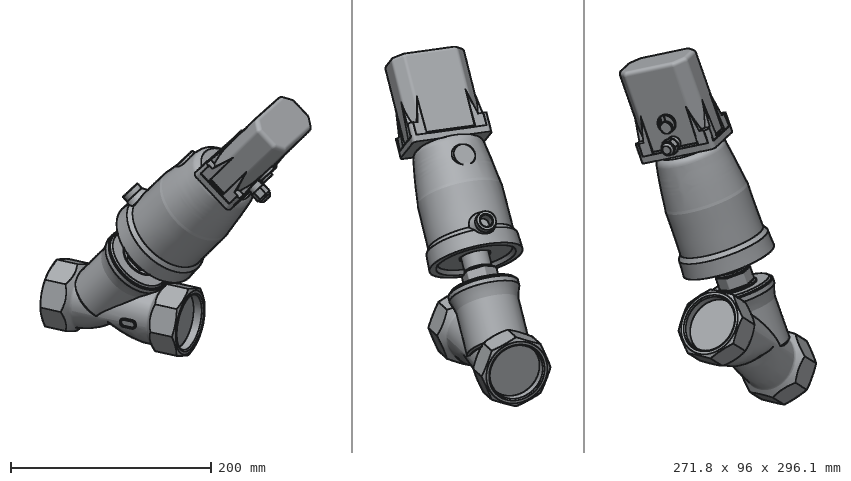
import cadquery as cq
import math


tilt_from_vertical = 40.0
axis_crossing_x = -30.2

body_length = 151.0
octagon_width = 74.0
left_end_length = 25.0
right_end_length = 26.0
end_root_radius = 3.5
end_face_diameter = 65.5
end_chamfer_length = 2.0
barrel_radius = 29.5
bore_diameter = 56.5
bore_depth = 10.5
bore_chamfer = 1.5
waist_x = -3.0
waist_depth = 12.5
left_belly_depth = 24.3
right_belly_depth = 26.7
badge_x = 21.0
badge_length = 18.0
badge_height = 9.5
badge_relief = 1.0
badge_rim = 1.5
badge_recess = 0.5

branch_diameter = 64.0
collar_diameter = 72.0
branch_foot = 10.0
branch_foot_chamfer = 2.0
flare_start = 55.5
flare_sag = 0.4
flare_end = 68.5
branch_top = 73.7

flange_diameter = 69.3
flange_top = 76.7
flange_chamfer = 1.8
washer_diameter = 40.0
washer_thickness = 1.2
nut_across_flats = 32.0
nut_height = 15.0
nut_edge_radius = 1.5
nut_chamfer = 1.2
nut_cone_height = 1.8
stem_diameter = 28.0

skirt_diameter = 96.0
skirt_top_radius = 47.0
shoulder_radius = 43.8
waistline_radius = 43.5
dome_start_radius = 43.0
dome_middle_radius = 40.3
dome_end_radius = 36.7
skirt_bottom = 104.5
skirt_top = 121.5
shoulder_top = 126.5
waistline = 173.5
dome_start = 176.5
dome_end = 221.0
actuator_top = 227.7
crown_radius = 31.0
recess_diameter = 82.0
recess_floor_diameter = 77.0
recess_depth = 4.5
stem_socket_diameter = 32.0
stem_socket_depth = 4.5

port_station = 126.5
port_diameter = 20.0
port_reach = 55.7
port_hole_diameter = 12.5
port_hole_depth = 11.8
port_hole_chamfer = 1.0
port_root_diameter = 28.5
port_root_reach = 49.2
port_root_end = 42.0
port_inner_end = 35.5

window_station = 203.0
window_diameter = 22.2
window_root_diameter = 26.0
window_reach = 41.0
window_depth = 5.3

head_offset = 3.3
neck_diameter = 40.0
base_width = 51.0
base_depth = 84.7
base_corner_radius = 4.7
base_bottom = 229.2
base_top = 236.3
post_top = 250.0
case_width = 45.0
case_depth = 78.2
case_top = 324.5
case_corner_chamfer = 10.7
case_edge_radius = 4.7
case_top_radius = 4.5
front_opening = 19.5
side_opening = 52.0
gusset_top = 277.2
gusset_foot_relief = 2.5
gusset_width = 6.2
case_foot_relief = 1.2
case_foot_height = 2.0

gland_station = 242.9
gland_collar_diameter = 14.2
gland_collar_end = 32.5
gland_across_flats = 14.2
gland_nut_end = 41.5
gland_tip_diameter = 13.5
gland_tip_end = 46.0
gland_tip_chamfer = 2.5

button_bottom = 255.3
button_base_diameter = 18.7
button_base_reach = 29.0
button_diameter = 12.5
button_reach = 32.0


def tilt(part):
    """Move an upright part onto the inclined axis."""
    tilted = part.rotate((0, 0, 0), (0, 1, 0), tilt_from_vertical)
    return tilted.translate((axis_crossing_x, 0, 0))


def disc(diameter, bottom, top):
    return cq.Workplane("XY").workplane(offset=bottom).circle(diameter / 2).extrude(top - bottom)


def side_disc(diameter, station, start, end):
    """Cylinder along X at a given station, from x = start to x = end."""
    plane = cq.Workplane("YZ", origin=(start, 0, station))
    return plane.circle(diameter / 2).extrude(end - start)


def barrel_start(end_length):
    """Distance from the middle of the body to where an end's rounded root meets the barrel."""
    cone_length = octagon_width / 2 - barrel_radius
    root_tangent = end_root_radius * math.tan(math.pi / 8)
    return body_length / 2 - end_length - cone_length - root_tangent


def pipe_end(end_length):
    """Octagonal threaded end on the -X side, turned to a cone at its face and its root."""
    outer_x = -body_length / 2
    inner_x = outer_x + end_length
    root_x = -barrel_start(end_length)
    tip_radius = octagon_width / 2
    root_rise = end_root_radius * (1 - math.cos(math.pi / 4))
    cone_foot_x = inner_x + tip_radius - barrel_radius - root_rise
    octagon = (
        cq.Workplane("YZ", origin=(outer_x, 0, 0))
        .polygon(8, octagon_width)
        .extrude(root_x - outer_x)
    )
    turned = (
        cq.Workplane("XZ")
        .moveTo(outer_x, 0)
        .lineTo(outer_x, end_face_diameter / 2)
        .lineTo(outer_x + end_chamfer_length, tip_radius)
        .lineTo(inner_x, tip_radius)
        .lineTo(cone_foot_x, barrel_radius + root_rise)
        .tangentArcPoint((root_x, barrel_radius), relative=False)
        .lineTo(root_x, 0)
        .close()
        .revolve(360, (0, 0, 0), (1, 0, 0))
    )
    bore = (
        cq.Workplane("YZ", origin=(outer_x, 0, 0))
        .circle(bore_diameter / 2)
        .extrude(bore_depth)
        .union(
            cq.Workplane("YZ", origin=(outer_x, 0, 0))
            .circle(bore_diameter / 2 + bore_chamfer)
            .workplane(offset=bore_chamfer)
            .circle(bore_diameter / 2)
            .loft()
        )
    )
    return octagon.intersect(turned).cut(bore)


def half_ellipse(x, depth):
    """Closed lower half of an ellipse as wide as the barrel."""
    arc = cq.Edge.makeEllipse(
        barrel_radius, depth, cq.Vector(x, 0, 0), cq.Vector(1, 0, 0), cq.Vector(0, 1, 0), 180, 360
    )
    chord = cq.Edge.makeLine(arc.endPoint(), arc.startPoint())
    return cq.Wire.assembleEdges([arc, chord])


def barrel():
    """Half-round upper shell over two bellies that pinch in at the waist."""
    left_x = -barrel_start(left_end_length)
    right_x = barrel_start(right_end_length)
    shape = (
        cq.Workplane("YZ", origin=(left_x, 0, 0))
        .moveTo(-barrel_radius, 0)
        .threePointArc((0, barrel_radius), (barrel_radius, 0))
        .close()
        .extrude(right_x - left_x)
    )
    for end_x, belly_depth in ((left_x, left_belly_depth), (right_x, right_belly_depth)):
        sections = [
            half_ellipse(end_x, barrel_radius),
            half_ellipse((end_x + waist_x) / 2, belly_depth),
            half_ellipse(waist_x, waist_depth),
        ]
        shape = shape.union(cq.Workplane(cq.Solid.makeLoft(sections)))
    return shape


def branch():
    """Inclined round branch with a bevelled foot, flaring out to its collar."""
    pipe_radius = branch_diameter / 2
    collar_radius = collar_diameter / 2
    flare_middle = (pipe_radius + flare_sag * (collar_radius - pipe_radius), (flare_start + flare_end) / 2)
    profile = (
        cq.Workplane("XZ")
        .moveTo(0, branch_foot - branch_foot_chamfer)
        .lineTo(pipe_radius - branch_foot_chamfer, branch_foot - branch_foot_chamfer)
        .lineTo(pipe_radius, branch_foot)
        .lineTo(pipe_radius, flare_start)
        .threePointArc(flare_middle, (collar_radius, flare_end))
        .lineTo(collar_radius, branch_top)
        .lineTo(0, branch_top)
        .close()
    )
    return tilt(profile.revolve(360, (0, 0, 0), (0, 1, 0)))


def badge():
    """Flow-direction badge: an oval with a raised rim on the -Y flank."""
    face_y = -barrel_radius - badge_relief
    plane = cq.Workplane("XZ", origin=(badge_x, face_y, 0))
    pad = plane.slot2D(badge_length, badge_height).extrude(-2 * badge_relief - badge_rim)
    dish = plane.slot2D(badge_length - 2 * badge_rim, badge_height - 2 * badge_rim).extrude(-badge_recess)
    return pad.cut(dish)


def make_valve_body():
    left_end = pipe_end(left_end_length)
    right_end = pipe_end(right_end_length).mirror("YZ")
    return barrel().union(left_end).union(right_end).union(branch()).union(badge())


def make_bonnet():
    washer_top = flange_top + washer_thickness
    nut_top = washer_top + nut_height
    flange = disc(flange_diameter, branch_top, flange_top).faces(">Z").chamfer(flange_chamfer)
    washer = disc(washer_diameter, flange_top, washer_top)
    nut = (
        cq.Workplane("XY")
        .workplane(offset=washer_top)
        .polygon(6, nut_across_flats / math.cos(math.pi / 6))
        .extrude(nut_height)
        .edges("|Z")
        .fillet(nut_edge_radius)
        .faces("<Z or >Z")
        .chamfer(nut_chamfer)
    )
    cone = (
        cq.Workplane("XY")
        .workplane(offset=nut_top)
        .circle(nut_across_flats / 2 - nut_chamfer)
        .workplane(offset=nut_cone_height)
        .circle(stem_diameter / 2)
        .loft()
    )
    stem = disc(stem_diameter, nut_top, skirt_bottom + recess_depth + stem_socket_depth)
    return tilt(flange.union(washer).union(nut).union(cone).union(stem))


def actuator_shell():
    profile = (
        cq.Workplane("XZ")
        .moveTo(0, skirt_bottom)
        .lineTo(skirt_diameter / 2, skirt_bottom)
        .lineTo(skirt_top_radius, skirt_top)
        .lineTo(shoulder_radius, shoulder_top)
        .lineTo(waistline_radius, waistline)
        .lineTo(dome_start_radius, dome_start)
        .threePointArc((dome_middle_radius, (dome_start + dome_end) / 2), (dome_end_radius, dome_end))
        .tangentArcPoint((crown_radius, actuator_top), relative=False)
        .lineTo(0, actuator_top)
        .close()
    )
    shell = profile.revolve(360, (0, 0, 0), (0, 1, 0))
    recess = (
        cq.Workplane("XY")
        .workplane(offset=skirt_bottom)
        .circle(recess_diameter / 2)
        .workplane(offset=recess_depth)
        .circle(recess_floor_diameter / 2)
        .loft()
    )
    recess_floor = skirt_bottom + recess_depth
    socket = disc(stem_socket_diameter, recess_floor, recess_floor + stem_socket_depth)
    return shell.cut(recess).cut(socket)


def air_port():
    """Air connection boss on the -X side with a conical root."""
    boss_radius = port_diameter / 2
    root_radius = port_root_diameter / 2
    return (
        cq.Workplane("XZ", origin=(0, 0, port_station))
        .moveTo(-port_reach, 0)
        .lineTo(-port_reach, boss_radius)
        .lineTo(-port_root_reach, boss_radius)
        .lineTo(-port_root_end, root_radius)
        .lineTo(-port_inner_end, root_radius)
        .lineTo(-port_inner_end, 0)
        .close()
        .revolve(360, (0, 0, 0), (1, 0, 0))
    )


def air_hole():
    """Blind hole of the air port with a bevelled mouth."""
    hole_radius = port_hole_diameter / 2
    hole_end = port_reach - port_hole_depth
    return (
        cq.Workplane("XZ", origin=(0, 0, port_station))
        .moveTo(-port_reach, 0)
        .lineTo(-port_reach, hole_radius + port_hole_chamfer)
        .lineTo(-port_reach + port_hole_chamfer, hole_radius)
        .lineTo(-hole_end, hole_radius)
        .lineTo(-hole_end, 0)
        .close()
        .revolve(360, (0, 0, 0), (1, 0, 0))
    )


def window_boss():
    """Flat tapered disc on the -X side of the dome."""
    return (
        cq.Workplane("YZ", origin=(-window_reach, 0, window_station))
        .circle(window_diameter / 2)
        .workplane(offset=window_depth)
        .circle(window_root_diameter / 2)
        .loft()
    )


def make_actuator():
    return tilt(actuator_shell().union(air_port()).union(window_boss()).cut(air_hole()))


def head_plane(station):
    return cq.Workplane("XY", origin=(head_offset, 0, station))


def head_base():
    """Base plate with a rounded post standing at each corner."""
    base = (
        head_plane(base_bottom)
        .rect(base_width, base_depth)
        .extrude(post_top - base_bottom)
        .edges("|Z")
        .fillet(base_corner_radius)
    )
    post_height = post_top - base_top
    front_gap = head_plane(base_top).rect(base_width - 2 * base_corner_radius, base_depth)
    side_gap = head_plane(base_top).rect(base_width, base_depth - 2 * base_corner_radius)
    return base.cut(front_gap.extrude(post_height)).cut(side_gap.extrude(post_height))


def case_foot():
    """Low ledge along the foot of each case face, between the ramps."""
    across = head_plane(base_top).rect(case_width + 2 * case_foot_relief, side_opening)
    along = head_plane(base_top).rect(front_opening, case_depth + 2 * case_foot_relief)
    return across.extrude(case_foot_height).union(along.extrude(case_foot_height))


def head_case():
    """Upright case with bevelled corners and rounded edges."""
    return (
        head_plane(base_top)
        .rect(case_width, case_depth)
        .extrude(case_top - base_top)
        .edges("|Z")
        .chamfer(case_corner_chamfer)
        .edges("|Z")
        .fillet(case_edge_radius)
        .faces(">Z")
        .edges()
        .fillet(case_top_radius)
    )


def gusset(opening, face, post_edge):
    """Ramp on the case face y = -face, from the opening at the middle out to a post at -X."""
    inner = opening / 2
    back = -face + case_corner_chamfer
    outline = (
        cq.Workplane("XZ")
        .polyline([
            (-inner, base_top),
            (-post_edge, base_top),
            (-post_edge, post_top),
            (-inner - gusset_width, post_top),
            (-inner, gusset_top),
        ])
        .close()
        .extrude(face + gusset_foot_relief)
    )
    ramp = (
        cq.Workplane("YZ", origin=(-post_edge, 0, 0))
        .polyline([
            (back, base_top),
            (-face - gusset_foot_relief, base_top),
            (-face, gusset_top),
            (back, gusset_top),
        ])
        .close()
        .extrude(post_edge - inner)
    )
    return outline.intersect(ramp)


def gussets():
    """Two ramps on each of the four case faces."""
    shapes = []
    front_post_edge = base_width / 2 - base_corner_radius
    side_post_edge = base_depth / 2 - base_corner_radius
    faces = (
        (0, front_opening, case_depth / 2, front_post_edge),
        (90, side_opening, case_width / 2, side_post_edge),
        (180, front_opening, case_depth / 2, front_post_edge),
        (270, side_opening, case_width / 2, side_post_edge),
    )
    for turn, opening, face, post_edge in faces:
        ramp = gusset(opening, face, post_edge)
        for side in (ramp, ramp.mirror("YZ")):
            shapes.append(side.rotate((0, 0, 0), (0, 0, 1), turn).translate((head_offset, 0, 0)))
    return shapes


def cable_gland():
    collar = side_disc(gland_collar_diameter, gland_station, head_offset, gland_collar_end)
    nut = (
        cq.Workplane("YZ", origin=(gland_collar_end, 0, gland_station))
        .polygon(6, gland_across_flats / math.cos(math.pi / 6))
        .extrude(gland_nut_end - gland_collar_end)
    )
    tip = side_disc(gland_tip_diameter, gland_station, gland_nut_end, gland_tip_end)
    return collar.union(nut).union(tip.faces(">X").chamfer(gland_tip_chamfer))


def push_button():
    base_station = button_bottom + button_base_diameter / 2
    button_station = button_bottom + button_diameter / 2
    base = side_disc(button_base_diameter, base_station, head_offset, button_base_reach)
    return base.union(side_disc(button_diameter, button_station, head_offset, button_reach))


def make_control_head():
    neck = head_plane(actuator_top).circle(neck_diameter / 2).extrude(base_bottom - actuator_top)
    head = head_base().union(neck).union(head_case()).union(case_foot())
    for ramp in gussets():
        head = head.union(ramp)
    return tilt(head.union(cable_gland()).union(push_button()))


valve_body = make_valve_body()
bonnet = make_bonnet()
actuator = make_actuator()
control_head = make_control_head()

result = cq.Compound.makeCompound([
    valve_body.solids().val(),
    bonnet.solids().val(),
    actuator.solids().val(),
    control_head.solids().val(),
])